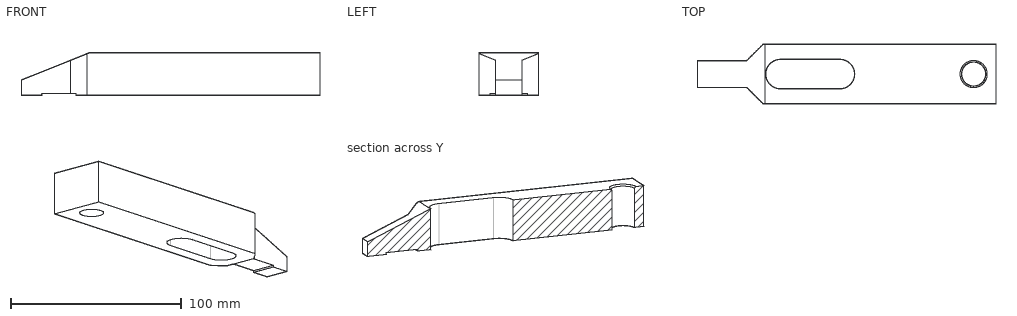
import cadquery as cq

length = 175.0
width = 35.0
height = 25.0

nose_width = 15.8
shoulder_end = 38.5
shoulder_run = (width - nose_width) / 2
shoulder_start = shoulder_end - shoulder_run
tip_height = 9.1
slope_end = 39.7

relief_start = 11.9
relief_end = 31.8
relief_depth = 1.0

slot_start = 40.0
slot_length = 52.0
slot_width = 17.2

hole_from_heel = 13.1
hole_diameter = 14.0
hole_mouth_diameter = 16.0
hole_chamfer = (hole_mouth_diameter - hole_diameter) / 2


def bar_with_nose():
    """Plan outline extruded to full height."""
    return (
        cq.Workplane("XY")
        .moveTo(0, nose_width / 2)
        .lineTo(shoulder_start, nose_width / 2)
        .lineTo(shoulder_end, width / 2)
        .lineTo(length, width / 2)
        .lineTo(length, -width / 2)
        .lineTo(shoulder_end, -width / 2)
        .lineTo(shoulder_start, -nose_width / 2)
        .lineTo(0, -nose_width / 2)
        .close()
        .extrude(height)
    )


def slope_cutter():
    """Wedge above the sloping top of the nose."""
    return (
        cq.Workplane("XZ")
        .polyline([(0, tip_height), (slope_end, height), (0, height)])
        .close()
        .extrude(width / 2, both=True)
    )


def relief_cutter():
    """Shallow step across the underside of the nose."""
    return cq.Workplane("XY").box(
        relief_end - relief_start, width, relief_depth, centered=(False, True, False)
    ).translate((relief_start, 0, 0))


def slot_cutter():
    """Round-ended slot through the full height."""
    return (
        cq.Workplane("XY")
        .center(slot_start + slot_length / 2, 0)
        .slot2D(slot_length, slot_width)
        .extrude(height)
    )


def hole_cutter():
    """Through hole with a 45 degree chamfer at its top mouth."""
    mouth_radius = hole_mouth_diameter / 2
    hole_radius = hole_diameter / 2
    return (
        cq.Workplane("XZ")
        .polyline([
            (0, 0),
            (hole_radius, 0),
            (hole_radius, height - hole_chamfer),
            (mouth_radius, height),
            (0, height),
        ])
        .close()
        .revolve(360, (0, 0, 0), (0, 1, 0))
        .translate((length - hole_from_heel, 0, 0))
    )


result = (
    bar_with_nose()
    .cut(slope_cutter())
    .cut(relief_cutter())
    .cut(slot_cutter())
    .cut(hole_cutter())
)